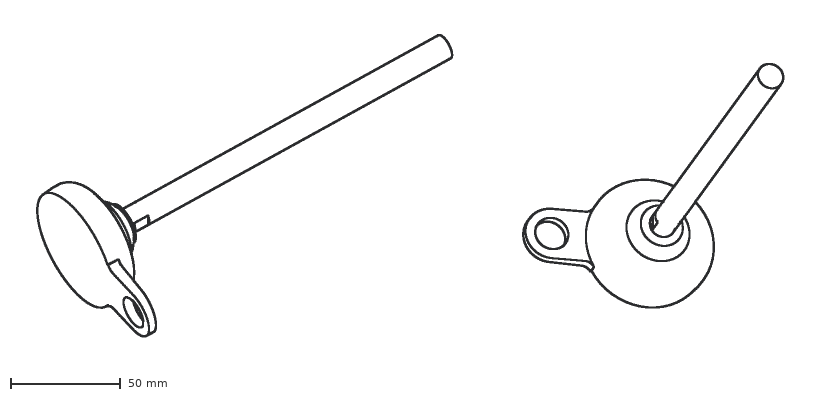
import cadquery as cq
import math

total_length = 208.0

foot_radius = 30.0
sole_radius = 29.3
sole_top = 5.8
rim_top = 9.0
shoulder_top, shoulder_radius = 15.5, 24.0
waist_top, waist_radius = 21.0, 15.0
dome_top, dome_radius = 26.6, 9.2
lip_height, lip_radius = 27.2, 10.0
collar_base, collar_radius = 27.9, 8.5
collar_top = 28.3
shoulder_bulge_point = (28.5, 12.5)
dome_bulge_point = (12.5, 24.1)

lug_reach = 58.0
lug_half_width = 12.3
lug_hole_diameter = 15.4
lug_tip_thickness = 4.0
lug_root_thickness = sole_top
lug_fillet = 4.8
lug_center = lug_reach - lug_half_width

rod_radius = 6.0
flat_half_width = 5.0
flat_start = 29.7
flat_end = 37.6


def make_pad():
    """Round foot with a bell-shaped back and a thin lip under the rod."""
    profile = (
        cq.Workplane("XY")
        .lineTo(sole_radius, 0)
        .lineTo(foot_radius, sole_top)
        .lineTo(foot_radius, rim_top)
        .threePointArc(shoulder_bulge_point, (shoulder_radius, shoulder_top))
        .lineTo(waist_radius, waist_top)
        .threePointArc(dome_bulge_point, (dome_radius, dome_top))
        .lineTo(lip_radius, lip_height)
        .lineTo(collar_radius, collar_base)
        .lineTo(rod_radius, collar_top)
        .lineTo(0, collar_top)
        .close()
    )
    return profile.revolve(360, (0, 0, 0), (0, 1, 0))


def make_lug():
    """Tapered lug whose sides blend into the round foot with concave fillets."""
    fillet_z = lug_half_width + lug_fillet
    fillet_reach = foot_radius + lug_fillet
    fillet_x = math.sqrt(fillet_reach**2 - fillet_z**2)
    tangent_x = fillet_x * foot_radius / fillet_reach
    tangent_z = fillet_z * foot_radius / fillet_reach
    start_angle = math.atan2(fillet_z, fillet_x)
    middle_angle = (start_angle + math.pi / 2) / 2
    middle_x = fillet_x - lug_fillet * math.cos(middle_angle)
    middle_z = fillet_z - lug_fillet * math.sin(middle_angle)

    outline = (
        cq.Workplane("XZ")
        .lineTo(tangent_x, -tangent_z)
        .threePointArc((middle_x, -middle_z), (fillet_x, -lug_half_width))
        .lineTo(lug_center, -lug_half_width)
        .threePointArc((lug_reach, 0), (lug_center, lug_half_width))
        .lineTo(fillet_x, lug_half_width)
        .threePointArc((middle_x, middle_z), (tangent_x, tangent_z))
        .close()
        .extrude(-lug_root_thickness)
    )
    taper = (
        cq.Workplane("XY")
        .polyline([
            (0, 0),
            (lug_reach, 0),
            (lug_reach, lug_tip_thickness),
            (foot_radius, lug_root_thickness),
            (0, lug_root_thickness),
        ])
        .close()
        .extrude(foot_radius, both=True)
    )
    return outline.intersect(taper)


def make_foot():
    """Pad and lug in one piece, with the mounting hole through the lug."""
    hole = (
        cq.Workplane("XZ")
        .center(lug_center, 0)
        .circle(lug_hole_diameter / 2)
        .extrude(-lug_root_thickness)
    )
    return make_pad().union(make_lug()).cut(hole)


def make_rod():
    """Rod standing on the foot, with two wrench flats near its lower end."""
    rod = cq.Workplane("XZ", origin=(0, collar_top, 0)).circle(rod_radius).extrude(collar_top - total_length)
    flat_depth = rod_radius - flat_half_width
    for side in (-1, 1):
        flat_cut = cq.Workplane("XY").box(
            flat_depth, flat_end - flat_start, 2 * rod_radius
        ).translate((side * (flat_half_width + flat_depth / 2), (flat_start + flat_end) / 2, 0))
        rod = rod.cut(flat_cut)
    return rod


foot = make_foot()
rod = make_rod()
result = cq.Compound.makeCompound([foot.val(), rod.val()])